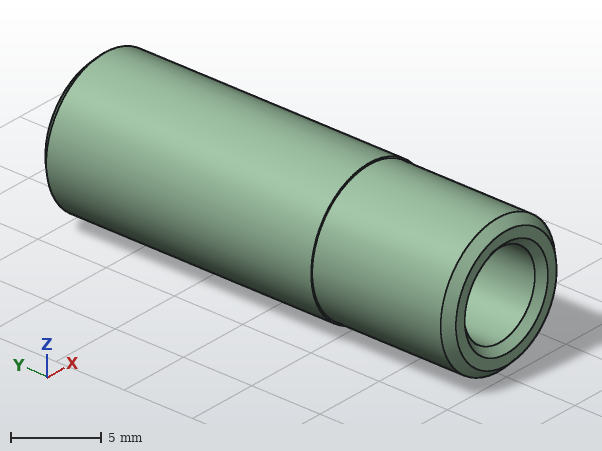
import cadquery as cq

length = 30.0
body_diameter = 9.93
neck_diameter = 9.72
bore_diameter = 6.0
neck_length = length / 3
outer_chamfer = 0.6
bore_chamfer = 0.5

front_y = -length / 2
back_y = length / 2
step_y = front_y + neck_length
body_radius = body_diameter / 2
neck_radius = neck_diameter / 2
bore_radius = bore_diameter / 2
mouth_radius = bore_radius + bore_chamfer

half_section = (
    cq.Workplane("XY")
    .moveTo(mouth_radius, front_y)
    .lineTo(neck_radius - outer_chamfer, front_y)
    .lineTo(neck_radius, front_y + outer_chamfer)
    .lineTo(neck_radius, step_y)
    .lineTo(body_radius, step_y)
    .lineTo(body_radius, back_y - outer_chamfer)
    .lineTo(body_radius - outer_chamfer, back_y)
    .lineTo(mouth_radius, back_y)
    .lineTo(bore_radius, back_y - bore_chamfer)
    .lineTo(bore_radius, front_y + bore_chamfer)
    .close()
)

result = half_section.revolve(360, (0, 0, 0), (0, 1, 0))